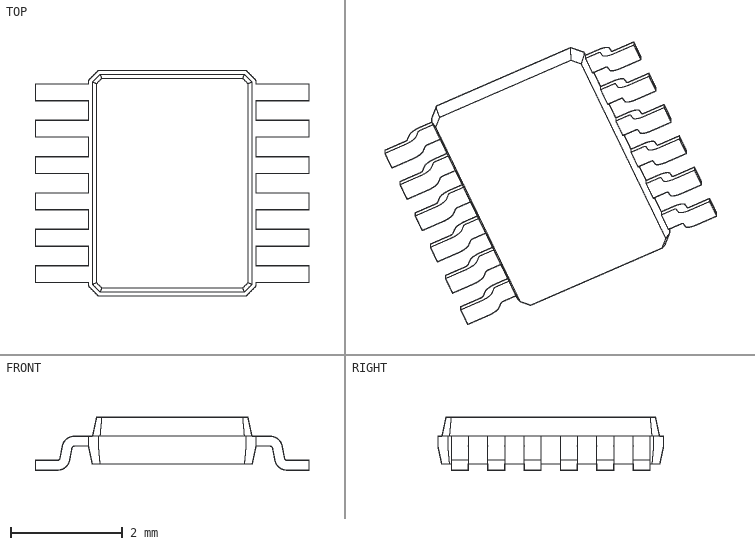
import cadquery as cq
import math

body_length_x = 3.0
body_length_y = 4.04
corner_chamfer = 0.18
top_z = 0.95
body_bottom_z = 0.11
draft_angle = 12.0
ledge_width = 0.073

lead_span = 4.9
lead_thickness = 0.18
lead_width = 0.305
lead_top_z = 0.61
lead_pitch = 0.65
leads_per_side = 6
foot_length = 0.40
inner_bend_radius = 0.04
riser_angle = math.radians(79)
lead_embed = 0.3

marker_diameter = 0.51
marker_depth = 0.05
marker_x = -0.65
marker_y = 1.18

band_top_z = lead_top_z
band_bottom_z = lead_top_z - lead_thickness


def chamfered_outline(z, inset=0.0):
    """Rectangle with cut corners, moved inward evenly by the inset."""
    half_x = body_length_x / 2 - inset
    half_y = body_length_y / 2 - inset
    chamfer = corner_chamfer - inset * (2 - math.sqrt(2))
    points = [
        (half_x, half_y - chamfer),
        (half_x - chamfer, half_y),
        (chamfer - half_x, half_y),
        (-half_x, half_y - chamfer),
        (-half_x, chamfer - half_y),
        (chamfer - half_x, -half_y),
        (half_x - chamfer, -half_y),
        (half_x, chamfer - half_y),
    ]
    return cq.Workplane("XY", origin=(0, 0, z)).polyline(points).close()


def make_body():
    lower_height = band_bottom_z - body_bottom_z
    upper_height = top_z - band_top_z
    band = chamfered_outline(band_bottom_z).extrude(lead_thickness)
    lower = chamfered_outline(band_bottom_z).extrude(-lower_height, taper=draft_angle)
    upper = chamfered_outline(band_top_z, ledge_width).extrude(upper_height, taper=draft_angle)
    return band.union(lower, clean=False).union(upper, clean=False)


def make_left_lead(y):
    """Gull-wing lead on the -X side, centred on y."""
    outer_bend_radius = inner_bend_radius + lead_thickness
    sin_rise = math.sin(riser_angle)
    cos_rise = math.cos(riser_angle)

    toe_x = -lead_span / 2
    inner_end_x = -body_length_x / 2 + lead_embed

    low_x = toe_x + foot_length
    low_z = outer_bend_radius
    high_z = lead_top_z - outer_bend_radius
    radius_sum = inner_bend_radius + outer_bend_radius
    high_x = low_x + (radius_sum + (high_z - low_z) * cos_rise) / sin_rise

    def low_bend(radius, angle):
        """Point on the foot bend after turning up by the angle."""
        return (low_x + radius * math.sin(angle), low_z - radius * math.cos(angle))

    def high_bend(radius, angle):
        """Point on the shoulder bend where the lead still slopes by the angle."""
        return (high_x - radius * math.sin(angle), high_z + radius * math.cos(angle))

    half_angle = riser_angle / 2

    return (
        cq.Workplane("XZ", origin=(0, y, 0))
        .moveTo(toe_x, 0)
        .lineTo(low_x, 0)
        .threePointArc(
            low_bend(outer_bend_radius, half_angle),
            low_bend(outer_bend_radius, riser_angle),
        )
        .lineTo(*high_bend(inner_bend_radius, riser_angle))
        .threePointArc(high_bend(inner_bend_radius, half_angle), (high_x, band_bottom_z))
        .lineTo(inner_end_x, band_bottom_z)
        .lineTo(inner_end_x, lead_top_z)
        .lineTo(high_x, lead_top_z)
        .threePointArc(
            high_bend(outer_bend_radius, half_angle),
            high_bend(outer_bend_radius, riser_angle),
        )
        .lineTo(*low_bend(inner_bend_radius, riser_angle))
        .threePointArc(low_bend(inner_bend_radius, half_angle), (low_x, lead_thickness))
        .lineTo(toe_x, lead_thickness)
        .close()
        .extrude(lead_width / 2, both=True)
    )


def make_leads():
    leads = []
    for index in range(leads_per_side):
        y = (index - (leads_per_side - 1) / 2) * lead_pitch
        left_lead = make_left_lead(y)
        leads.append(left_lead)
        leads.append(left_lead.mirror("YZ"))
    return leads


def make_marker():
    return (
        cq.Workplane("XY", origin=(marker_x, marker_y, top_z))
        .circle(marker_diameter / 2)
        .extrude(-marker_depth)
    )


result = make_body()
for insert in make_leads() + [make_marker()]:
    result = result.cut(insert, clean=False).union(insert, clean=False)